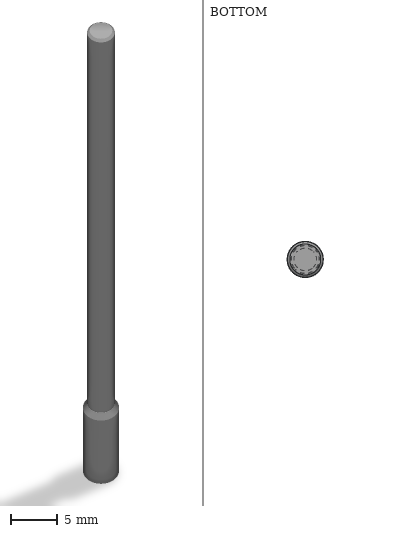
import cadquery as cq

total_length = 70.0
shank_diameter = 3.0
shank_tip_chamfer = 0.3
head_diameter = 3.9
head_length = 11.05
head_shoulder_width = 0.4
head_shoulder_height = 0.8
head_bottom_chamfer = 0.3

shank_radius = shank_diameter / 2
head_radius = head_diameter / 2


def revolve_outline(points):
    """Solid of revolution about Z from a closed outline of (radius, height) points."""
    return cq.Workplane("XZ").polyline(points).close().revolve(360, (0, 0, 0), (0, 1, 0))


def make_head():
    """Wide cylinder, chamfered below and with a conical shoulder above."""
    return revolve_outline([
        (0, 0),
        (head_radius - head_bottom_chamfer, 0),
        (head_radius, head_bottom_chamfer),
        (head_radius, head_length - head_shoulder_height),
        (head_radius - head_shoulder_width, head_length),
        (0, head_length),
    ])


def make_shank():
    """Long plain rod standing on the head, with a chamfered free end."""
    return revolve_outline([
        (0, head_length),
        (shank_radius, head_length),
        (shank_radius, total_length - shank_tip_chamfer),
        (shank_radius - shank_tip_chamfer, total_length),
        (0, total_length),
    ])


head = make_head()
shank = make_shank()

result = cq.Compound.makeCompound([head.val(), shank.val()])